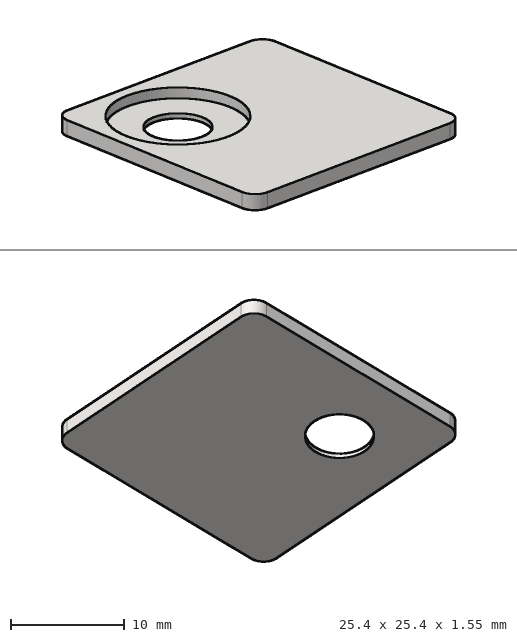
import cadquery as cq

side = 25.4
thickness = 1.55
corner_radius = 1.57

hole_inset = 7.67
hole_diameter = 6.07
counterbore_diameter = 12.75
counterbore_depth = 1.05

plate = (
    cq.Workplane("XY")
    .box(side, side, thickness, centered=(True, True, False))
    .edges("|Z")
    .fillet(corner_radius)
)

hole_offset = hole_inset - side / 2
result = (
    plate.faces(">Z")
    .workplane(origin=(0, 0, thickness))
    .center(hole_offset, hole_offset)
    .cboreHole(hole_diameter, counterbore_diameter, counterbore_depth)
)